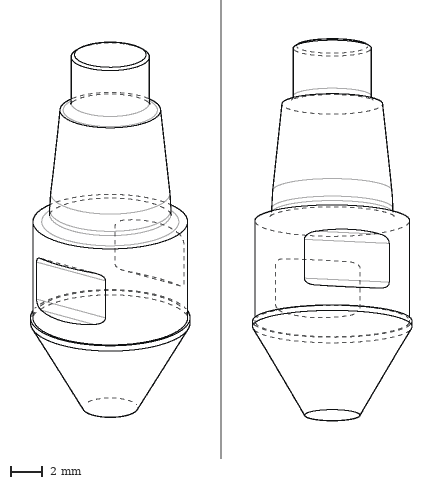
import cadquery as cq
import math

total_height = 23.6
collar_radius = 10.0 / 2
cone_height = 5.66
cone_half_angle = 30.0
collar_top = 6.02
tip_radius = collar_radius - cone_height * math.tan(math.radians(cone_half_angle))

barrel_radius = 9.7 / 2
barrel_top = 12.44
neck_radius = 7.6 / 2
neck_straight_top = 13.22
taper_start = 14.35
taper_angle = 6.0
shoulder_height = 19.9
pin_radius = 4.9 / 2
fillet_radius = 0.5
pin_chamfer_width = 0.21
pin_chamfer_height = 0.15

flat_distance = 4.01
flat_height = 2.48
flat_center_z = 9.06
flat_fillet = 0.5
wall_angle = 15.0


def make_tip():
    """Truncated cone pointing down, topped by a thin cylindrical collar."""
    profile = (
        cq.Workplane("XZ")
        .lineTo(tip_radius, 0)
        .lineTo(collar_radius, cone_height)
        .lineTo(collar_radius, collar_top)
        .lineTo(0, collar_top)
        .close()
    )
    return profile.revolve(360, (0, 0), (0, 1))


def make_turned_holder():
    """Barrel, neck and pin, resting on the collar."""
    taper = math.radians(taper_angle)
    blend_radius = (taper_start - neck_straight_top) / math.sin(taper)
    taper_base_radius = neck_radius - blend_radius * (1 - math.cos(taper))
    shoulder_radius = taper_base_radius - (shoulder_height - taper_start) * math.tan(taper)
    blend_mid_radius = neck_radius - blend_radius * (1 - math.cos(taper / 2))
    blend_mid_height = neck_straight_top + blend_radius * math.sin(taper / 2)
    profile = (
        cq.Workplane("XZ")
        .moveTo(0, collar_top)
        .lineTo(barrel_radius, collar_top)
        .lineTo(barrel_radius, barrel_top)
        .lineTo(neck_radius + fillet_radius, barrel_top)
        .radiusArc((neck_radius, barrel_top + fillet_radius), fillet_radius)
        .lineTo(neck_radius, neck_straight_top)
        .threePointArc((blend_mid_radius, blend_mid_height), (taper_base_radius, taper_start))
        .lineTo(shoulder_radius, shoulder_height)
        .lineTo(pin_radius + fillet_radius, shoulder_height)
        .radiusArc((pin_radius, shoulder_height + fillet_radius), fillet_radius)
        .lineTo(pin_radius, total_height - pin_chamfer_height)
        .lineTo(pin_radius - pin_chamfer_width, total_height)
        .lineTo(0, total_height)
        .close()
    )
    return profile.revolve(360, (0, 0), (0, 1))


def make_flat_cutter(side):
    """Trough along X with sloped walls and rounded floor corners; side is -1 or +1 along Y."""
    corner_setback = flat_fillet * math.tan(math.radians(90 - wall_angle) / 2)
    floor_half = flat_height / 2 + corner_setback
    depth = collar_radius - flat_distance
    mouth_half = floor_half + depth * math.tan(math.radians(wall_angle))
    floor_y = side * flat_distance
    mouth_y = side * collar_radius
    trough = (
        cq.Workplane("YZ")
        .polyline([
            (floor_y, flat_center_z - floor_half),
            (floor_y, flat_center_z + floor_half),
            (mouth_y, flat_center_z + mouth_half),
            (mouth_y, flat_center_z - mouth_half),
        ])
        .close()
        .extrude(collar_radius, both=True)
    )
    floor_face = "<Y" if side > 0 else ">Y"
    return trough.faces(floor_face).edges("|X").fillet(flat_fillet)


def make_holder():
    """Turned holder with a wrench flat on each side."""
    body = make_turned_holder()
    for side in (-1, 1):
        body = body.cut(make_flat_cutter(side))
    return body


tip = make_tip()
holder = make_holder()

result = cq.Compound.makeCompound([tip.val(), *holder.vals()])